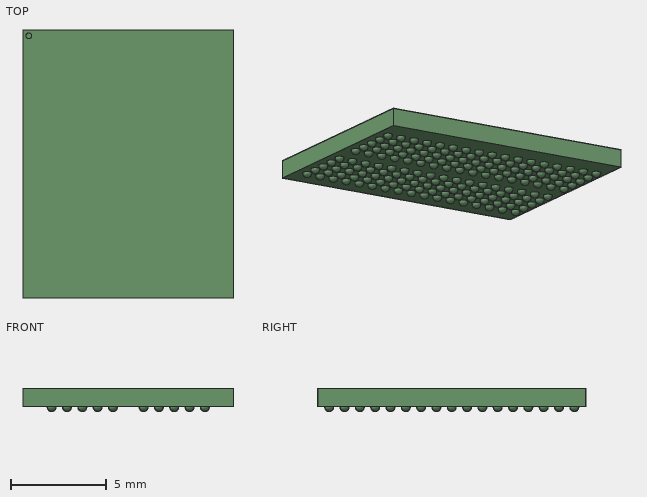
import cadquery as cq

body_width = 11.0
body_length = 14.0
total_height = 1.21
ball_standoff = 0.26
body_height = total_height - ball_standoff

ball_diameter = 0.47
ball_pitch = 0.8
columns_per_bank = 5
row_count = 17

mark_diameter = 0.3
mark_inset = 0.31
mark_depth = 0.01


def make_body():
    """Rectangular package block above the solder balls."""
    return (
        cq.Workplane("XY")
        .workplane(offset=ball_standoff)
        .rect(body_width, body_length)
        .extrude(body_height)
    )


def ball_centers():
    """Centers of all the solder balls in plan, leaving out the middle column."""
    middle_row = (row_count - 1) / 2
    centers = []
    for column in range(-columns_per_bank, columns_per_bank + 1):
        if column == 0:
            continue
        for row in range(row_count):
            centers.append((column * ball_pitch, (row - middle_row) * ball_pitch))
    return centers


def make_balls():
    """Solder balls touching Z = 0, their tops sunk into the body."""
    radius = ball_diameter / 2
    ball = cq.Workplane("XY").sphere(radius).val()
    return (
        cq.Workplane("XY")
        .workplane(offset=radius)
        .pushPoints(ball_centers())
        .eachpoint(lambda place: ball.moved(place), combine=False)
    )


def make_pin_one_mark():
    """Cutter for the pin 1 recess in the top face."""
    return (
        cq.Workplane("XY")
        .workplane(offset=total_height - mark_depth)
        .center(mark_inset - body_width / 2, body_length / 2 - mark_inset)
        .circle(mark_diameter / 2)
        .extrude(mark_depth)
    )


result = make_body().union(make_balls()).cut(make_pin_one_mark())